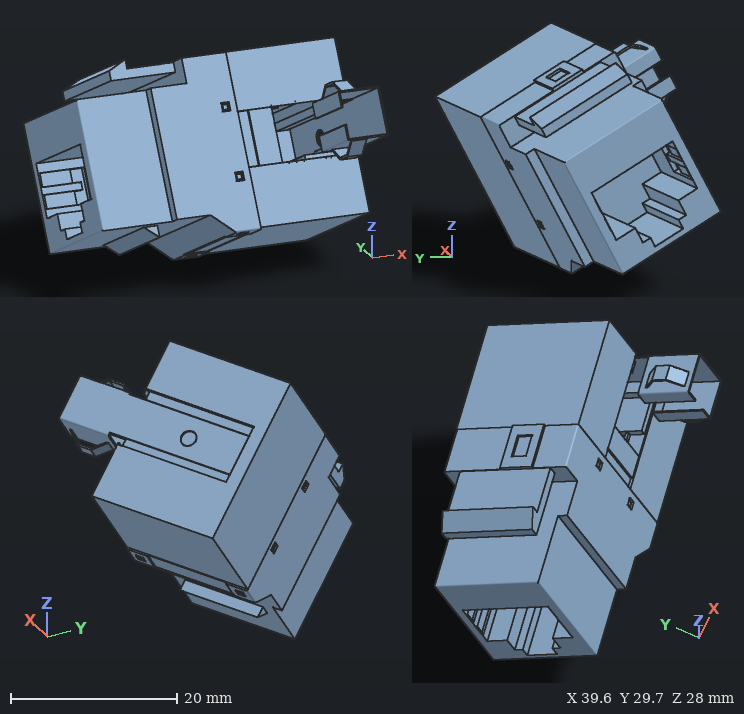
import cadquery as cq
import math

ROLL = -27.4
PITCH = 2.1
YAW = 9.8

NOSE_LENGTH = 9.6
NOSE_HALF_WIDTH = 7.25
NOSE_HALF_HEIGHT = 8.12
MOUTH_RADIUS = 0.2
BODY_HALF_WIDTH = 8.52
BODY_TOP = 11.3
BODY_BOTTOM = -10.65
TOP_STEP_X = 14.55
RAMP_START_X = 14.2
RAMP_END_X = 17.2
SEAM_X = 20.65
BODY_EDGE_RADIUS = 0.25

LATCH_HALF_WIDTH = 6.3
LATCH_BOTTOM = 9.95
LATCH_TOP = 11.18
LATCH_FRONT_X = 5.65
LATCH_HOOK_X = 8.15
LATCH_HOOK_TOP = 12.32
TOOTH_HALF_WIDTH = 5.45
TOOTH_FRONT_X = 6.58
TOOTH_REAR_X = 8.45
TOOTH_DEPTH = 1.45

SOCKET_DEPTH = 11.9
SOCKET_TOP = 2.85
SOCKET_STEPS = [(5.95, -3.92), (3.17, -6.02), (2.05, -7.3)]
GROOVE_FRONT_X = 0.25
GROOVE_REAR_X = 4.55
GROOVE_DEPTH = 0.3
GROOVE_HEIGHT = 1.75
GROOVE_BOTTOMS = [-2.77, -0.08]
RIB_REAR_X = 5.55
POCKET_REAR_X = 6.35
POCKET_DEPTH = 0.65

PANEL_Y = (-3.9, 0.5)
PANEL_HEIGHT = 0.3
PANEL_WINDOW_X = (16.13, 19.2)
PANEL_WINDOW_Y = (-2.65, -0.65)
RECESS_HALF_WIDTH = 5.55
RECESS_DEPTH = 0.15
WINDOW_X = 19.2
WINDOW_SIZE = 1.07
WINDOW_DEPTH = 0.4
TAB_SIZE = 0.65
TAB_SETBACK = 0.15
SIDE_WINDOW_HEIGHTS = [4.68, -3.92]
BOTTOM_WINDOW_X = 18.85
BOTTOM_WINDOW_Y = 7.0

REAR_X = 35.65
HOUSING_BOTTOM = -10.42
WALL = 0.15
SLOT_CENTRE = 0.48
SLOT_HALF_HEIGHT = 3.45
STRIP_REAR_X = 22.2
STRIP_DEPTH = 0.4
CAVITY_FRONT_X = 25.35
CAVITY_FLOOR = -3.17
CAVITY_CEILING = 4.6
CAVITY_END_Y = 6.75
LEDGE_FRONT_X = 28.7
LEDGE_START_Y = -8.1
LEDGE_TOP = -2.38
JAW_FRONT_X = 33.53
JAW_REAR_X = 35.1
LOWER_JAW_TOP = -1.25
UPPER_JAW_BOTTOM = 2.95
JAW_BORE_RADIUS = 2.3
CABLE_Y = -0.4
NUB_X = (27.82, 28.45)
NUB_HEIGHT = 0.3
NUB_WIDTH = 0.4
NUB_STARTS_Y = [-7.2, -4.3, 1.5, 4.4]
FLOOR_NUB_X = (27.7, 28.7)
FLOOR_NUB_HEIGHT = 0.48
FLOOR_NUB_START_Y = -6.1

CLIP_FRONT_X = 30.0
CLIP_REAR_X = 35.63
CLIP_MOUTH_Y = -17.15
CLIP_BACK_Y = -10.15
CLIP_HALF_HEIGHT = 3.05
CLIP_SHEET = 0.2
CLIP_CORNER_RADIUS = 0.25
LIP_HALF_GAP = 1.07
TONGUE_BOTTOM = -2.1
TONGUE_HOLE_RADIUS = 1.0
SPRING_X = (30.87, 32.95)
SPRING_FRONT_Y = -16.45
SPRING_CREST_Y = (-14.6, -12.7)
SPRING_BACK_Y = -10.98
SPRING_RISE = 1.6
SPRING_SHEET = 0.28


def block(x_range, y_range, z_range):
    """Box given by its limits along the three local axes."""
    size = [high - low for low, high in (x_range, y_range, z_range)]
    return cq.Workplane("XY").box(*size, centered=False).translate((x_range[0], y_range[0], z_range[0]))


def symmetric(half, centre=0):
    """Limits of a span centred on a value."""
    return (centre - half, centre + half)


def side_extrusion(points, half_width):
    """Outline in the x-z plane, extruded equally to both sides."""
    return cq.Workplane("XZ").polyline(points).close().extrude(half_width, both=True)


def posed(body):
    """Turn a body from the local frame into its tilted pose."""
    origin = (0, 0, 0)
    body = body.rotate(origin, (1, 0, 0), ROLL)
    body = body.rotate(origin, (0, 1, 0), PITCH)
    return body.rotate(origin, (0, 0, 1), YAW)


def jack_shell():
    nose = block((0, NOSE_LENGTH), symmetric(NOSE_HALF_WIDTH), symmetric(NOSE_HALF_HEIGHT))
    nose = nose.faces("<X").edges().fillet(MOUTH_RADIUS)
    shoulder = side_extrusion(
        [
            (NOSE_LENGTH, -NOSE_HALF_HEIGHT),
            (RAMP_START_X, -NOSE_HALF_HEIGHT),
            (RAMP_END_X, BODY_BOTTOM),
            (SEAM_X, BODY_BOTTOM),
            (SEAM_X, BODY_TOP),
            (TOP_STEP_X, BODY_TOP),
            (TOP_STEP_X, NOSE_HALF_HEIGHT),
            (NOSE_LENGTH, NOSE_HALF_HEIGHT),
        ],
        BODY_HALF_WIDTH,
    )
    shoulder = shoulder.faces(">Z").edges("|X").fillet(BODY_EDGE_RADIUS)
    shoulder = shoulder.faces("<Z").edges("|X").fillet(BODY_EDGE_RADIUS)
    return nose.union(shoulder)


def latch_arm():
    return side_extrusion(
        [
            (TOP_STEP_X, LATCH_BOTTOM),
            (LATCH_FRONT_X, LATCH_BOTTOM),
            (LATCH_FRONT_X, LATCH_TOP),
            (LATCH_HOOK_X, LATCH_HOOK_TOP),
            (LATCH_HOOK_X, LATCH_TOP),
            (TOP_STEP_X, LATCH_TOP),
        ],
        LATCH_HALF_WIDTH,
    )


def catch_tooth():
    return side_extrusion(
        [
            (TOOTH_FRONT_X, -NOSE_HALF_HEIGHT),
            (TOOTH_REAR_X, -NOSE_HALF_HEIGHT),
            (TOOTH_REAR_X, -NOSE_HALF_HEIGHT - TOOTH_DEPTH),
        ],
        TOOTH_HALF_WIDTH,
    )


def plug_socket():
    """Space left for the plug, with grooves and a deeper pocket in both side walls."""
    space = cq.Workplane("XY")
    for half_width, bottom in SOCKET_STEPS:
        space = space.union(block((0, SOCKET_DEPTH), symmetric(half_width), (bottom, SOCKET_TOP)))
    groove_y = symmetric(SOCKET_STEPS[0][0] + GROOVE_DEPTH)
    pocket_y = symmetric(SOCKET_STEPS[0][0] + POCKET_DEPTH)
    for bottom in GROOVE_BOTTOMS:
        groove_z = (bottom, bottom + GROOVE_HEIGHT)
        space = space.union(block((GROOVE_FRONT_X, GROOVE_REAR_X), groove_y, groove_z))
        space = space.union(block((GROOVE_REAR_X, RIB_REAR_X), pocket_y, groove_z))
    joined_z = (GROOVE_BOTTOMS[0], GROOVE_BOTTOMS[-1] + GROOVE_HEIGHT)
    return space.union(block((RIB_REAR_X, POCKET_REAR_X), pocket_y, joined_z))


def label_panel():
    panel_z = (BODY_TOP, BODY_TOP + PANEL_HEIGHT)
    panel = block((TOP_STEP_X, SEAM_X), PANEL_Y, panel_z)
    return panel.cut(block(PANEL_WINDOW_X, PANEL_WINDOW_Y, panel_z))


def bottom_recess():
    return block(
        (RAMP_END_X, SEAM_X), symmetric(RECESS_HALF_WIDTH), (BODY_BOTTOM, BODY_BOTTOM + RECESS_DEPTH)
    )


def window_pocket(centre, outward_axis):
    """Square pocket around a point on a face, with a small tab left standing inside it."""
    sizes = [WINDOW_SIZE] * 3
    tab_sizes = [TAB_SIZE] * 3
    sizes[outward_axis] = 2 * WINDOW_DEPTH
    tab_sizes[outward_axis] = 2 * (WINDOW_DEPTH - TAB_SETBACK)
    tab_centre = list(centre)
    tab_centre[outward_axis] -= math.copysign(WINDOW_DEPTH, centre[outward_axis])
    tab = cq.Workplane("XY").box(*tab_sizes).translate(tuple(tab_centre))
    return cq.Workplane("XY").box(*sizes).translate(centre).cut(tab)


def rear_windows():
    """Small square pockets in both sides and in the underside."""
    pockets = cq.Workplane("XY")
    for side in (-1, 1):
        for height in SIDE_WINDOW_HEIGHTS:
            pockets = pockets.union(window_pocket((WINDOW_X, side * BODY_HALF_WIDTH, height), 1))
        bottom_centre = (BOTTOM_WINDOW_X, side * BOTTOM_WINDOW_Y, BODY_BOTTOM)
        pockets = pockets.union(window_pocket(bottom_centre, 2))
    return pockets


def make_jack():
    jack = jack_shell().union(latch_arm()).union(catch_tooth()).union(label_panel())
    return jack.cut(plug_socket()).cut(bottom_recess()).cut(rear_windows())


def ledges():
    """Long shallow steps along the floor and the ceiling of the cavity."""
    x_range = (LEDGE_FRONT_X, JAW_FRONT_X)
    lower = block(x_range, (LEDGE_START_Y, CAVITY_END_Y), (CAVITY_FLOOR, LEDGE_TOP))
    upper_y = (WALL - BODY_HALF_WIDTH, CAVITY_END_Y)
    return lower.union(block(x_range, upper_y, (SLOT_CENTRE + SLOT_HALF_HEIGHT, CAVITY_CEILING)))


def cable_jaws():
    """Bars that close on the cable from below and above, relieved by a round bore."""
    x_range = (JAW_FRONT_X, JAW_REAR_X)
    y_range = (LEDGE_START_Y, CAVITY_END_Y)
    lower = block(x_range, y_range, (CAVITY_FLOOR, LOWER_JAW_TOP))
    upper = block(x_range, y_range, (UPPER_JAW_BOTTOM, CAVITY_CEILING))
    return lower.union(upper).cut(cable_bore(JAW_BORE_RADIUS))


def cable_bore(radius):
    """Cylinder along the body, on the axis of the cable outlet."""
    return cq.Workplane("YZ").center(CABLE_Y, SLOT_CENTRE).circle(radius).extrude(REAR_X)


def cavity_nubs():
    """Small stops: a row on the ceiling and a single one on the floor."""
    floor_nub_y = (FLOOR_NUB_START_Y, FLOOR_NUB_START_Y + NUB_WIDTH)
    nubs = block(FLOOR_NUB_X, floor_nub_y, (CAVITY_FLOOR, CAVITY_FLOOR + FLOOR_NUB_HEIGHT))
    for start in NUB_STARTS_Y:
        nub_z = (CAVITY_CEILING - NUB_HEIGHT, CAVITY_CEILING)
        nubs = nubs.union(block(NUB_X, (start, start + NUB_WIDTH), nub_z))
    return nubs


def make_housing():
    side = -BODY_HALF_WIDTH
    housing = block((SEAM_X, REAR_X), symmetric(BODY_HALF_WIDTH), (HOUSING_BOTTOM, BODY_TOP))
    slot_z = symmetric(SLOT_HALF_HEIGHT, SLOT_CENTRE)
    housing = housing.cut(block((SEAM_X, REAR_X), (side, side + WALL), slot_z))
    housing = housing.cut(block((SEAM_X, STRIP_REAR_X), (side, side + STRIP_DEPTH), slot_z))
    cavity = block((CAVITY_FRONT_X, REAR_X), (side + WALL, CAVITY_END_Y), (CAVITY_FLOOR, CAVITY_CEILING))
    cavity = cavity.cut(ledges()).cut(cable_jaws()).cut(cavity_nubs())
    return housing.cut(cavity)


def spring_strip():
    """Bowed leaf standing out of the upper wall of the clip."""
    foot = SLOT_CENTRE + CLIP_HALF_HEIGHT
    crest = foot + SPRING_RISE
    strip = (
        cq.Workplane("YZ")
        .polyline(
            [
                (SPRING_FRONT_Y, foot),
                (SPRING_CREST_Y[0], crest),
                (SPRING_CREST_Y[1], crest),
                (SPRING_BACK_Y, foot),
                (SPRING_BACK_Y - SPRING_SHEET, foot),
                (SPRING_CREST_Y[1], crest - SPRING_SHEET),
                (SPRING_CREST_Y[0], crest - SPRING_SHEET),
                (SPRING_FRONT_Y + SPRING_SHEET, foot),
            ]
        )
        .close()
        .extrude(SPRING_X[1] - SPRING_X[0])
    )
    return strip.translate((SPRING_X[0], 0, 0))


def make_clip():
    clip_x = (CLIP_FRONT_X, CLIP_REAR_X)
    clip_y = (CLIP_MOUTH_Y, CLIP_BACK_Y)
    inner_x = (CLIP_FRONT_X + CLIP_SHEET, CLIP_REAR_X - CLIP_SHEET)
    rear_wall_x = (inner_x[1], CLIP_REAR_X)
    outer_z = symmetric(CLIP_HALF_HEIGHT, SLOT_CENTRE)
    clip = block(clip_x, clip_y, outer_z).edges("|Y").fillet(CLIP_CORNER_RADIUS)
    clip = clip.cut(block(inner_x, clip_y, symmetric(CLIP_HALF_HEIGHT - CLIP_SHEET, SLOT_CENTRE)))
    clip = clip.cut(block((CLIP_FRONT_X, inner_x[0]), clip_y, symmetric(LIP_HALF_GAP, SLOT_CENTRE)))

    tongue_z = (TONGUE_BOTTOM, SLOT_CENTRE + CLIP_HALF_HEIGHT - CLIP_CORNER_RADIUS)
    tongue = block(rear_wall_x, (CLIP_BACK_Y, CAVITY_END_Y), tongue_z)
    clip = clip.union(tongue.cut(cable_bore(TONGUE_HOLE_RADIUS)))

    upper_spring = spring_strip()
    lower_spring = upper_spring.mirror("XY", (0, 0, SLOT_CENTRE))
    return clip.union(upper_spring).union(lower_spring)


jack = posed(make_jack())
housing = posed(make_housing())
clip = posed(make_clip())

result = cq.Compound.makeCompound([jack.val(), housing.val(), clip.val()])